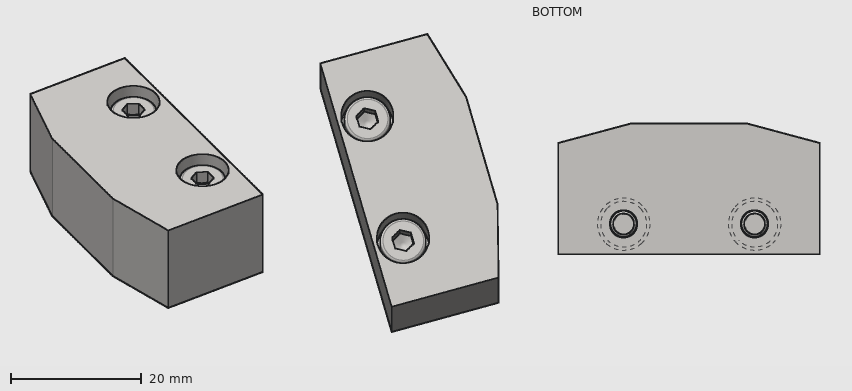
import cadquery as cq
import math

length = 40.0
depth = 20.0
height = 15.0
corner_setback = 3.0
corner_angle = 15.0

screw_spacing = 20.0
screw_to_back = 4.65
shank_diameter = 4.0
shank_length = 16.0
tip_chamfer = 0.4
head_diameter = 7.0
head_height = 4.0
head_edge_radius = 0.4
socket_across_flats = 3.0
socket_depth = 3.0
socket_cone_angle = 120.0

hole_diameter = 4.2
counterbore_diameter = 8.0
head_recess = 1.5
counterbore_depth = head_recess + head_height

seat_z = height - counterbore_depth
screw_y = depth / 2 - screw_to_back


def make_block():
    corner_run = corner_setback / math.tan(math.radians(corner_angle))
    half_length = length / 2
    half_flat = half_length - corner_run
    back = depth / 2
    front = -depth / 2
    outline = [
        (-half_length, back),
        (-half_length, front + corner_setback),
        (-half_flat, front),
        (half_flat, front),
        (half_length, front + corner_setback),
        (half_length, back),
    ]
    return cq.Workplane("XY").polyline(outline).close().extrude(height)


def make_screw():
    """Screw on the Z axis, with the underside of its head at Z = 0."""
    head = cq.Workplane("XY").circle(head_diameter / 2).extrude(head_height)
    head = head.faces(">Z").edges().fillet(head_edge_radius)
    shank = cq.Workplane("XY").circle(shank_diameter / 2).extrude(-shank_length)
    shank = shank.faces("<Z").edges().chamfer(tip_chamfer)

    across_corners = socket_across_flats / math.cos(math.radians(30))
    apex_z = head_height - socket_depth
    cone_radius = socket_depth * math.tan(math.radians(socket_cone_angle / 2))
    cone = cq.Workplane(
        cq.Solid.makeCone(0, cone_radius, socket_depth, cq.Vector(0, 0, apex_z), cq.Vector(0, 0, 1))
    )
    socket = (
        cq.Workplane("XY")
        .workplane(offset=apex_z)
        .polygon(6, across_corners)
        .extrude(socket_depth)
        .intersect(cone)
    )
    return head.union(shank).cut(socket)


result = make_block()
screw = make_screw()
for screw_x in (-screw_spacing / 2, screw_spacing / 2):
    result = (
        result.faces(">Z")
        .workplane(origin=(screw_x, screw_y, height))
        .cboreHole(hole_diameter, counterbore_diameter, counterbore_depth)
    )
    result = result.union(screw.translate((screw_x, screw_y, seat_z)))